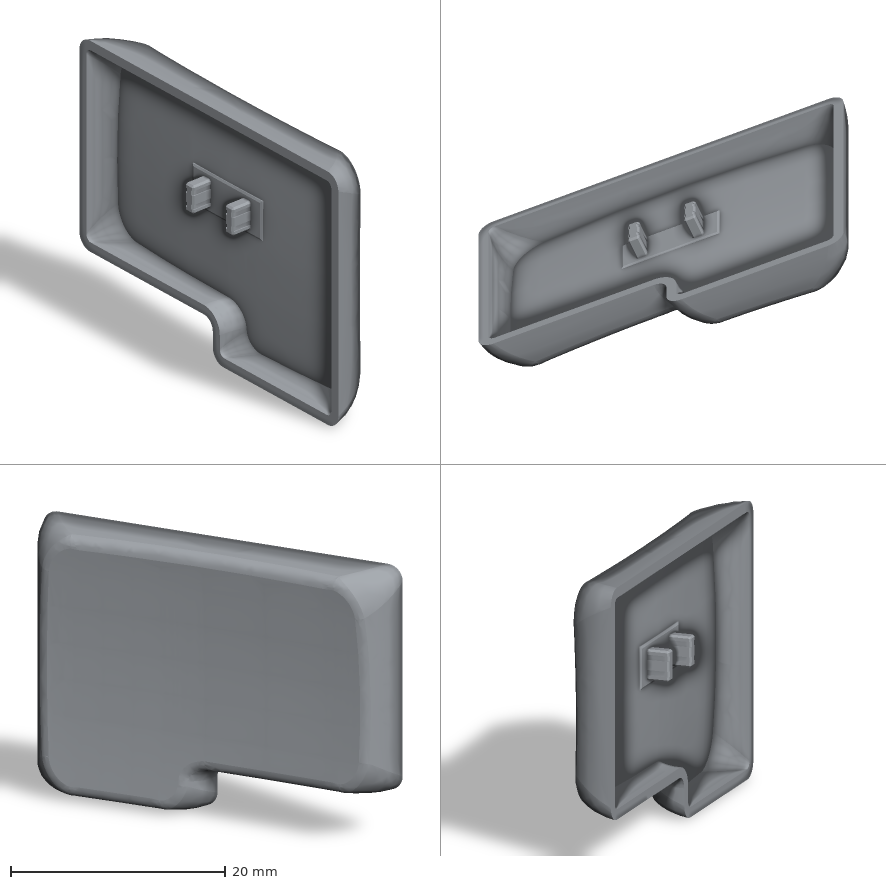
import cadquery as cq
import math

width = 36.97
height = 26.85
notch_width = 19.05
notch_height = 4.47
wall = 1.0

end_wall_radius = 6.0
long_wall_radius = 16.65

notch_corner_radius = 1.3
outer_corner_radius = 1.5
outer_corner_growth = 0.45
outer_tip_growth = 0.3
inner_corner_radius = 0.65
inner_corner_growth = 0.75
inner_tip_growth = 0.4

outer_stations = (0.0, 1.3, 2.6, 3.9, 5.18)
inner_stations = (0.0, 0.92, 1.85, 2.77, 3.7)

dish_depth = 3.65
dish_radius_x = 207.05
dish_radius_z = 107.2
floor_depth = 2.3
floor_radius_x = 207.05
floor_radius_z = 151.58
back_edge_fillet = 1.1

tool_half_length = 25.88
tool_top = 14.8
tool_half_angle = 15.0

mount_z = 2.45
plate_width = 9.95
plate_height = 4.2
plate_bevel_width = 0.22
plate_bevel_depth = 0.1
plate_face = 2.18
plate_back = 2.95
leg_spacing = 5.7
leg_width = 1.2
leg_height = 3.0
leg_tip = 0.0
leg_chamfer = 0.2
groove_width = 0.5
groove_depth = 0.1
groove_offset = 0.75


def lean(radius, y):
    """Inward travel at depth y of an arc that starts square to the rim."""
    return radius - math.sqrt(radius**2 - y**2)


def cap_section(y, inset, corner_radius, corner_growth, tip_growth):
    """Rounded L outline at depth y, for walls offset inwards by inset."""
    dx = inset + lean(end_wall_radius - inset, y)
    dz = inset + lean(long_wall_radius - inset, y)
    right = width / 2 - dx
    left = -right
    top = height / 2 - dz
    bottom = -top
    notch_x = -width / 2 + notch_width + dx
    notch_z = -height / 2 + notch_height + dz
    points = [
        (left, top), (right, top), (right, bottom),
        (notch_x, bottom), (notch_x, notch_z), (left, notch_z),
    ]
    outline = cq.Wire.makePolygon([cq.Vector(x, y, z) for x, z in points], close=True)
    main_radius = corner_radius + corner_growth * y
    tip_radius = corner_radius + tip_growth * y
    radii = 3 * [main_radius] + [tip_radius, notch_corner_radius + inset, main_radius]
    for (x, z), radius in zip(points, radii):
        corner = cq.Vector(x, y, z)
        nearest = min(outline.Vertices(), key=lambda vertex: (vertex.Center() - corner).Length)
        outline = outline.fillet2D(radius, [nearest])
    return outline


def walls_body(stations, inset, *corner_shape):
    """Solid lofted through the cap outlines at the given depths."""
    return cq.Workplane(cq.Solid.makeLoft([cap_section(y, inset, *corner_shape) for y in stations]))


def dish_tool(depth, radius_x, radius_z):
    """Everything behind a doubly curved surface whose lowest point is at the given depth."""
    end_y = depth + lean(radius_x, tool_half_length)
    axis_start = (-0.37, depth + radius_z, 0)
    axis_end = (0.37, depth + radius_z, 0)
    return (
        cq.Workplane("XY")
        .moveTo(-tool_half_length, end_y)
        .threePointArc((0, depth), (tool_half_length, end_y))
        .lineTo(tool_half_length, tool_top)
        .lineTo(-tool_half_length, tool_top)
        .close()
        .revolve(2 * tool_half_angle, axis_start, axis_end)
        .rotate(axis_start, axis_end, -tool_half_angle)
    )


def block(x_size, y_near, y_far, z_size):
    """Box centred in X and Z that spans y_near to y_far."""
    return cq.Workplane("XY").box(x_size, y_far - y_near, z_size).translate((0, (y_near + y_far) / 2, 0))


def leg():
    """Chamfered leg with two shallow grooves along each broad side."""
    body = block(leg_width, leg_tip, plate_back, leg_height)
    body = body.edges("|Y or <Y").chamfer(leg_chamfer)
    side_x = leg_width / 2
    groove_x = side_x - groove_depth
    groove = (
        cq.Workplane("XY")
        .moveTo(side_x, leg_tip)
        .lineTo(groove_x - leg_chamfer, leg_tip)
        .lineTo(groove_x, leg_tip + leg_chamfer)
        .lineTo(groove_x, plate_face)
        .lineTo(side_x, plate_face)
        .close()
        .extrude(groove_width / 2, both=True)
    )
    for row in (-1, 1):
        row_groove = groove.translate((0, 0, row * groove_offset))
        body = body.cut(row_groove).cut(row_groove.mirror("YZ"))
    return body


def mount():
    """Plate with a shallow bevel round its face, carrying the two legs."""
    bevel_start = plate_face + plate_bevel_depth
    bevel_angle = math.degrees(math.atan2(plate_bevel_width, plate_bevel_depth))
    plate = block(plate_width, bevel_start, plate_back, plate_height)
    bevel = (
        cq.Workplane("XZ", origin=(0, bevel_start, 0))
        .rect(plate_width, plate_height)
        .extrude(plate_bevel_depth, taper=bevel_angle)
    )
    plate = plate.union(bevel)
    for side in (-1, 1):
        plate = plate.union(leg().translate((side * leg_spacing / 2, 0, 0)))
    return plate.translate((0, 0, mount_z))


outer_body = walls_body(outer_stations, 0, outer_corner_radius, outer_corner_growth, outer_tip_growth)
shell = outer_body.cut(dish_tool(dish_depth, dish_radius_x, dish_radius_z))
shell = shell.faces(">Y").edges().fillet(back_edge_fillet)

inner_body = walls_body(inner_stations, wall, inner_corner_radius, inner_corner_growth, inner_tip_growth)
cavity = inner_body.cut(dish_tool(floor_depth, floor_radius_x, floor_radius_z))

result = shell.cut(cavity).union(mount())